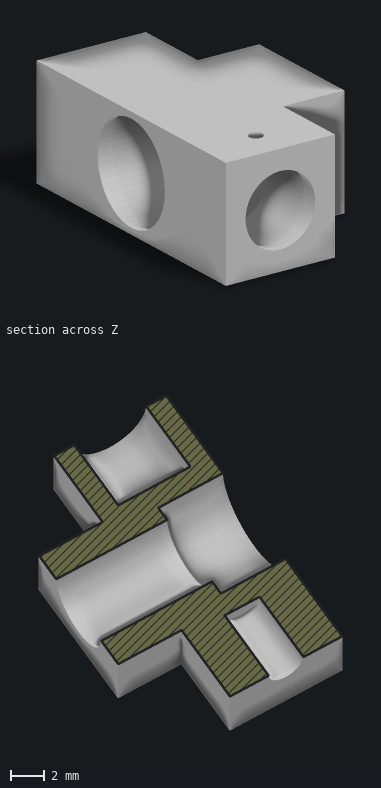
import cadquery as cq

length = 20
block_depth = 8
height = 8
mid_height = height / 2

tab_width = 9
tab_depth = 4.5
total_depth = block_depth + tab_depth

bore_diameter = 5.1
counterbore_diameter = 7.1
counterbore_depth = 4.6

side_hole_diameter = 2.45
socket_diameter = 5.1
side_hole_depth = 5
side_hole_y = block_depth / 2
cross_hole_diameter = 1
cross_hole_end_distance = 2.6


def y_cylinder(diameter, depth):
    """Cylinder along +Y from the front face, on the bore axis."""
    return cq.Workplane(
        cq.Solid.makeCylinder(
            diameter / 2, depth, cq.Vector(length / 2, 0, mid_height), cq.Vector(0, 1, 0)
        )
    )


def side_hole(diameter, end_x, direction):
    """Blind hole along X, drilled inward from one end face."""
    return cq.Workplane(
        cq.Solid.makeCylinder(
            diameter / 2,
            side_hole_depth,
            cq.Vector(end_x, side_hole_y, mid_height),
            cq.Vector(direction, 0, 0),
        )
    )


block = cq.Workplane("XY").box(length, block_depth, height, centered=False)
tab = (
    cq.Workplane("XY")
    .box(tab_width, total_depth, height, centered=False)
    .translate(((length - tab_width) / 2, 0, 0))
)

cross_hole = (
    cq.Workplane("XY", origin=(length - cross_hole_end_distance, side_hole_y, mid_height))
    .circle(cross_hole_diameter / 2)
    .extrude(height - mid_height)
)

result = (
    block.union(tab)
    .cut(y_cylinder(bore_diameter, total_depth))
    .cut(y_cylinder(counterbore_diameter, counterbore_depth))
    .cut(side_hole(side_hole_diameter, 0, 1))
    .cut(side_hole(socket_diameter, length, -1))
    .cut(cross_hole)
)